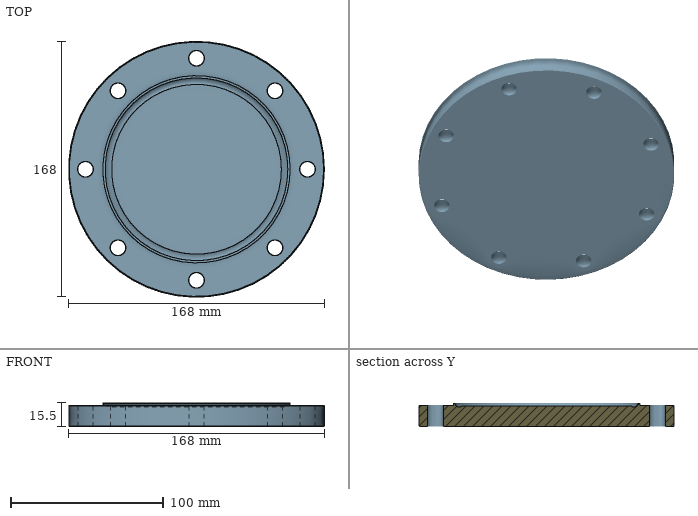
import cadquery as cq
import math

flange_diameter = 168.0
flange_thickness = 14.0
edge_chamfer = 0.5

rim_height = 1.5
rim_outer_diameter = 123.0

groove_diameter = 114.9
groove_radius = 2.5
centre_recess_depth = 1.8

bolt_count = 8
bolt_circle_diameter = 145.8
bolt_hole_diameter = 10.0

total_height = flange_thickness + rim_height


def make_body():
    """Revolve the half section of the flange, rim, groove and recessed centre about Z."""
    outer_radius = flange_diameter / 2
    rim_outer_radius = rim_outer_diameter / 2
    groove_centre = groove_diameter / 2
    centre_height = total_height - centre_recess_depth
    groove_inner_radius = groove_centre - math.sqrt(groove_radius**2 - centre_recess_depth**2)
    section = (
        cq.Workplane("XZ")
        .lineTo(outer_radius - edge_chamfer, 0)
        .lineTo(outer_radius, edge_chamfer)
        .lineTo(outer_radius, flange_thickness - edge_chamfer)
        .lineTo(outer_radius - edge_chamfer, flange_thickness)
        .lineTo(rim_outer_radius, flange_thickness)
        .lineTo(rim_outer_radius, total_height)
        .lineTo(groove_centre + groove_radius, total_height)
        .threePointArc(
            (groove_centre, total_height - groove_radius),
            (groove_inner_radius, centre_height),
        )
        .lineTo(0, centre_height)
        .close()
    )
    return section.revolve(360, (0, 0, 0), (0, 1, 0))


def make_bolt_holes():
    """Cylinders on the bolt circle, the first one on +X."""
    return (
        cq.Workplane("XY")
        .polarArray(bolt_circle_diameter / 2, 0, 360, bolt_count)
        .circle(bolt_hole_diameter / 2)
        .extrude(total_height)
    )


result = make_body().cut(make_bolt_holes())